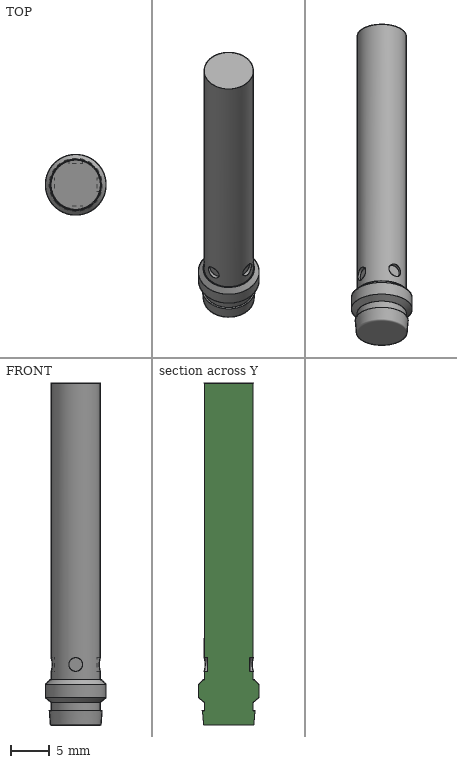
import cadquery as cq

total_length = 45.0
body_diameter = 6.5

collar_diameter = 8.0
collar_bottom = 3.0
collar_top = 6.05
collar_chamfer_height = 0.65
collar_shoulder_diameter = 6.75

lip_diameter = 6.98
lip_taper_end_diameter = 6.7
lip_height = 1.95
tip_diameter = 6.25
tip_round_height = 0.25

hole_diameter = 1.8
hole_depth = 0.45
hole_height = 8.0
hole_count = 4

body_radius = body_diameter / 2
collar_radius = collar_diameter / 2
shoulder_radius = collar_shoulder_diameter / 2


def turned_body():
    """Revolve the half profile of shaft, collar, neck and lip about Z."""
    profile = (
        cq.Workplane("XZ")
        .moveTo(0, 0)
        .lineTo(tip_diameter / 2, 0)
        .tangentArcPoint((lip_taper_end_diameter / 2, tip_round_height), relative=False)
        .lineTo(lip_diameter / 2, lip_height)
        .lineTo(body_radius, lip_height)
        .lineTo(body_radius, collar_bottom)
        .lineTo(collar_radius, collar_bottom + collar_chamfer_height)
        .lineTo(collar_radius, collar_top - collar_chamfer_height)
        .lineTo(shoulder_radius, collar_top)
        .lineTo(body_radius, collar_top)
        .lineTo(body_radius, total_length)
        .lineTo(0, total_length)
        .close()
    )
    return profile.revolve(360, (0, 0), (0, 1))


def radial_hole(angle):
    """Flat-bottomed hole cutter entering the shaft at an angle about Z."""
    return (
        cq.Workplane("YZ", origin=(body_radius - hole_depth, 0, 0))
        .center(0, hole_height)
        .circle(hole_diameter / 2)
        .extrude(body_radius)
        .rotate((0, 0, 0), (0, 0, 1), angle)
    )


result = turned_body()
for index in range(hole_count):
    result = result.cut(radial_hole(index * 360 / hole_count))